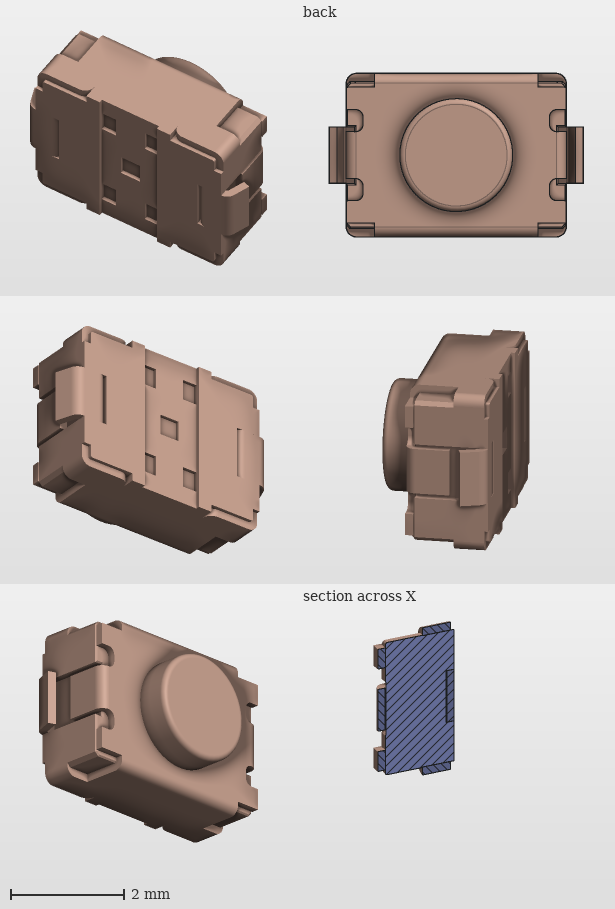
import cadquery as cq
import math


total_length = 4.5
body_half_length = 1.95
body_half_width = 1.45
cover_top = 1.5
sheet = 0.15

housing_half_width = body_half_width - sheet
housing_top = cover_top - sheet
housing_corner_chamfer = 0.07
end_floor = body_half_length - sheet
groove_half_length = 0.6
groove_depth = 0.07
pocket_depth = 0.07
centre_pocket_size = 0.4
side_pocket_inner_x = 0.3
side_pocket_inner_z = 0.7
side_pocket_outer_z = 1.102

fold_radius = 0.175
corner_radius = 0.19
corner_inner_radius = corner_radius - sheet
fold_inner_radius = fold_radius - sheet
housing_edge_chamfer = fold_inner_radius
plate_end_half_width = 1.2
flange_half_length = 1.45
leg_top = 0.625
leg_bottom = 0.07
leg_inner_z = 1.05
opening_half_length = 0.878
opening_top = 0.7
leg_edge_radius = 0.2
tab_half_width = 0.415
relief_outer_z = 0.805
relief_depth = 0.3
relief_radius = 0.135

terminal_width = 1.0
terminal_inner_x = 1.45
terminal_bend_radius = 0.2
terminal_root_radius = 0.16
terminal_tip_y = 0.5
terminal_tip_angle = 70.0

button_radius = 1.0
button_top = 2.1
button_fillet = 0.1

SIGNS = (-1, 1)


def box(x_range, y_range, z_range):
    """Box that spans the given ranges."""
    ranges = (x_range, y_range, z_range)
    sizes = [abs(end - start) for start, end in ranges]
    middle = [(start + end) / 2 for start, end in ranges]
    return cq.Workplane("XY").box(*sizes).translate(tuple(middle))


def centred(half_size):
    """Range from -half_size to +half_size."""
    return (-half_size, half_size)


def upright_block(half_length, half_width, y_range):
    """Block centred on the Y axis."""
    return box(centred(half_length), y_range, centred(half_width))


def make_terminal(side):
    """Bent strip: a root bend into the housing, a flat foot and a sloping tip."""
    angle = math.radians(terminal_tip_angle)
    sine, cosine = math.sin(angle), math.cos(angle)
    bend_inner = terminal_bend_radius - sheet
    root_inner = terminal_root_radius - sheet
    root_x = terminal_inner_x + terminal_root_radius

    tip_x = total_length / 2
    tip_y = terminal_tip_y - sheet * cosine
    bend_end_y = terminal_bend_radius * (1 - cosine)
    bend_x = tip_x - (tip_y - bend_end_y) * cosine / sine - terminal_bend_radius * sine

    def bend_point(radius, turn):
        return (bend_x + radius * math.sin(turn), terminal_bend_radius - radius * math.cos(turn))

    def root_point(radius, turn):
        return (root_x - radius * math.sin(turn), terminal_root_radius - radius * math.cos(turn))

    quarter = math.pi / 2
    strip = (
        cq.Workplane("XY")
        .moveTo(*root_point(terminal_root_radius, quarter))
        .threePointArc(
            root_point(terminal_root_radius, quarter / 2), root_point(terminal_root_radius, 0)
        )
        .lineTo(*bend_point(terminal_bend_radius, 0))
        .threePointArc(
            bend_point(terminal_bend_radius, angle / 2), bend_point(terminal_bend_radius, angle)
        )
        .lineTo(tip_x, tip_y)
        .lineTo(tip_x - sheet * sine, terminal_tip_y)
        .lineTo(*bend_point(bend_inner, angle))
        .threePointArc(bend_point(bend_inner, angle / 2), bend_point(bend_inner, 0))
        .lineTo(*root_point(root_inner, 0))
        .threePointArc(root_point(root_inner, quarter / 2), root_point(root_inner, quarter))
        .close()
        .extrude(terminal_width / 2, both=True)
    )
    return strip if side > 0 else strip.mirror("YZ")


def cut_end_recesses(block):
    """Recess both ends over the full height, for a cover tab above a terminal."""
    for side in SIGNS:
        recess_x = (side * end_floor, side * body_half_length)
        block = block.cut(box(recess_x, (0, housing_top), centred(terminal_width / 2)))
    return block


def make_housing():
    """Moulded block with grooves and pockets, recessed for the cover and the terminals."""
    upper_y = (leg_top, housing_top)
    upper = upright_block(body_half_length, housing_half_width, upper_y)
    upper = cut_end_recesses(upper.edges("|Y").chamfer(housing_corner_chamfer))
    upper = upper.faces(">Y").edges().chamfer(housing_edge_chamfer)

    lower_y = (0, leg_top)
    core = upright_block(end_floor, housing_half_width, lower_y)
    core = core.edges("|Y").fillet(corner_inner_radius)
    between_legs = upright_block(body_half_length, leg_inner_z, lower_y)
    lower = cut_end_recesses(core.union(between_legs))

    side_pads = upright_block(opening_half_length, body_half_width, (0, opening_top))
    housing = lower.union(upper).union(side_pads)

    for side in SIGNS:
        slot_x = (side * terminal_inner_x, side * end_floor)
        housing = housing.cut(box(slot_x, (0, terminal_root_radius), centred(terminal_width / 2)))

    housing = housing.cut(upright_block(groove_half_length, body_half_width, (0, groove_depth)))
    pocket_y = (groove_depth, groove_depth + pocket_depth)
    housing = housing.cut(upright_block(centre_pocket_size / 2, centre_pocket_size / 2, pocket_y))
    for x_side in SIGNS:
        for z_side in SIGNS:
            pocket_x = (x_side * side_pocket_inner_x, x_side * groove_half_length)
            pocket_z = (z_side * side_pocket_inner_z, z_side * side_pocket_outer_z)
            housing = housing.cut(box(pocket_x, pocket_y, pocket_z))
    return housing


def folded_channel(half_span, half_length, axis):
    """Top plate with a folded-down wall at each side, running along the given axis."""
    inner_span = half_span - sheet
    y_range = (leg_bottom, cover_top)
    inner_y = (leg_bottom, housing_top)
    if axis == "X":
        outer = upright_block(half_length, half_span, y_range)
        inner = upright_block(half_length, inner_span, inner_y)
    else:
        outer = upright_block(half_span, half_length, y_range)
        inner = upright_block(inner_span, half_length, inner_y)
    outer = outer.faces(">Y").edges(f"|{axis}").fillet(fold_radius)
    inner = inner.faces(">Y").edges(f"|{axis}").fillet(fold_inner_radius)
    return outer.cut(inner)


def make_corner_legs():
    """Lower band of the flanges, which wraps round the four body corners."""
    band_y = (leg_bottom, leg_top)
    outer = upright_block(body_half_length, body_half_width, band_y)
    inner = upright_block(end_floor, housing_half_width, band_y)
    band = outer.edges("|Y").fillet(corner_radius).cut(inner.edges("|Y").fillet(corner_inner_radius))
    return band.cut(upright_block(body_half_length, leg_inner_z, band_y))


def make_relief(x_side, z_side):
    """Cutter for the slot beside a tab, with a rounded bottom."""
    slot_x = (x_side * (body_half_length - relief_depth), x_side * body_half_length)
    slot_z = (z_side * tab_half_width, z_side * relief_outer_z)
    slot = box(slot_x, (housing_top, cover_top), slot_z)
    bottom = "<X" if x_side > 0 else ">X"
    return slot.faces(bottom).edges("|Y").fillet(relief_radius)


def make_cover():
    """Sheet-metal cover: a plate with two flanges, four corner legs and two end tabs."""
    flanged_plate = folded_channel(body_half_width, flange_half_length, "X")
    tab_zone = upright_block(body_half_length, tab_half_width, (opening_top, cover_top))
    tabs = folded_channel(body_half_length, tab_half_width, "Z").intersect(tab_zone)

    plate = upright_block(body_half_length, plate_end_half_width, (housing_top, cover_top))
    plate = plate.cut(upright_block(body_half_length, tab_half_width, (housing_top, cover_top)))
    cover = flanged_plate.union(plate).union(tabs)
    for x_side in SIGNS:
        for z_side in SIGNS:
            cover = cover.cut(make_relief(x_side, z_side))

    cover = cover.union(make_corner_legs())
    opening = upright_block(opening_half_length, body_half_width, (leg_bottom, opening_top))
    cover = cover.cut(opening)
    for x_side in SIGNS:
        for z_side in SIGNS:
            leg_edge = (x_side * opening_half_length, leg_bottom, z_side * body_half_width)
            cover = cover.edges("|Z").edges(cq.NearestToPointSelector(leg_edge)).fillet(leg_edge_radius)
    return cover


def make_button():
    """Round push button that stands on the cover."""
    button = cq.Workplane("XZ", origin=(0, cover_top, 0)).circle(button_radius)
    return button.extrude(cover_top - button_top).faces(">Y").edges().fillet(button_fillet)


housing = make_housing()
cover = make_cover()
button = make_button()
terminals = [make_terminal(side) for side in SIGNS]

result = cq.Compound.makeCompound(
    [housing.val(), cover.val(), button.val(), *[terminal.val() for terminal in terminals]]
)